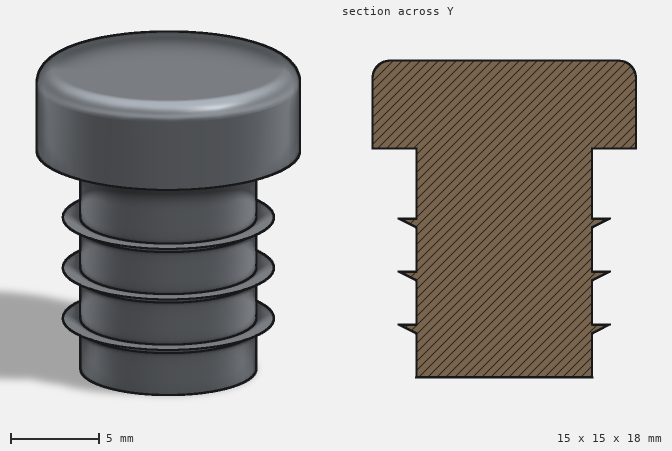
import cadquery as cq

total_height = 18.0

head_diameter = 15.0
head_height = 5.0
head_edge_radius = 1.0

stem_diameter = 10.0
stem_height = total_height - head_height

rib_diameter = 12.0
rib_height = 0.5
rib_pitch = 3.0
rib_count = 3


def make_head():
    """Round cap with a rounded upper edge."""
    return (
        cq.Workplane("XY")
        .workplane(offset=stem_height)
        .circle(head_diameter / 2)
        .extrude(head_height)
        .faces(">Z")
        .edges()
        .fillet(head_edge_radius)
    )


def make_stem():
    """Plain cylinder standing on the XY plane."""
    return cq.Workplane("XY").circle(stem_diameter / 2).extrude(stem_height)


def make_rib(top_z):
    """Conical rib around the stem, with its flat sharp-edged face at top_z."""
    return (
        cq.Workplane("XZ")
        .moveTo(0, top_z - rib_height)
        .lineTo(stem_diameter / 2, top_z - rib_height)
        .lineTo(rib_diameter / 2, top_z)
        .lineTo(0, top_z)
        .close()
        .revolve(360, (0, 0), (0, 1))
    )


result = make_stem().union(make_head())
for rib_number in range(1, rib_count + 1):
    result = result.union(make_rib(rib_number * rib_pitch))